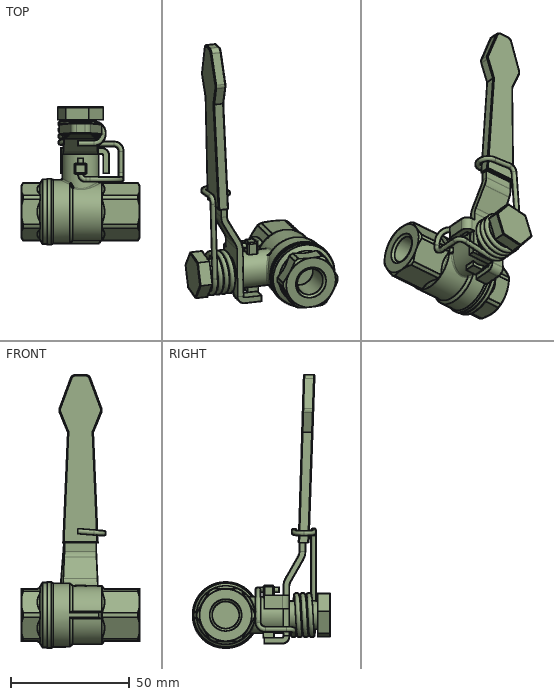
import cadquery as cq
import math


body_length = 50.0
end_x = body_length / 2
hex_flats = 22.0
hex_corner_diameter = 24.4
end_face_radius = hex_flats / 2
end_chamfer_length = 0.8
collar_diameter = 28.0
rim_diameter = 27.5
barrel_diameter = 27.0
recess_diameter = 24.7
cone_start_x = -18.3
cone_bend_x = -17.3
cone_bend_radius = 11.6
rim_start_x = -16.0
collar_start_x = -14.0
collar_chamfer_x = -12.4
collar_end_x = -11.6
recess_chamfer_x = -4.6
recess_start_x = -3.3
recess_end_x = 9.0
shoulder_bend_x = 9.5
barrel_end_x = 10.2
rib_half_top = 0.9
rib_half_root = 1.6
rib_end_chamfer = 1.4
bore_diameter = 11.45
bore_mouth_diameter = 13.5
bore_depth = 14.0
bore_chamfer = (bore_mouth_diameter - bore_diameter) / 2

neck_diameter = 15.5
neck_end_y = 24.3
neck_fillet = 0.6
stem_diameter = 12.0
nut_start_y = 38.8
nut_end_y = 44.2
nut_flats = 17.0
nut_turn = 9.0
nut_chamfer = 0.3
lever_reach_y = nut_end_y

lug_half_width = 2.7
lug_y_range = (15.8, 20.45)
lug_root_z = 5.0
lug_top_z = 12.5
lug_bottom_z = -9.5
lug_chamfer = 0.6

strip_thickness = 2.6
strip_bottom_z = -8.7
lower_bend_z = 13.5
upper_bend_z = 25.4
strip_offset = 6.8
strip_top_z = 40.0
strip_half_bottom = 8.3
strip_half_top = 6.7
strip_taper_top_z = 27.0
bend_inner_radius = 4.6
tab_tip_y = 16.2
tab_width = 5.8
tab_outer_radius = 3.1
tab_inner_radius = tab_outer_radius - strip_thickness
side_tab_outer_x = 12.1
side_tab_top_z = 8.4
bottom_tab_z = -12.1

grip_bottom_z = 30.5
grip_top_z = 101.48
grip_waist_z = 77.2
grip_wide_z = 86.4
grip_half_bottom = 7.4
grip_half_waist = 5.4
grip_half_wide = 9.2
grip_half_tip = 3.6
grip_front_bottom_y = 30.7
grip_back_bottom_y = 35.1
grip_front_top_y = 32.9
grip_back_top_y = 37.6
tip_radius = 2.5
wide_radius = 2.2
grip_chamfer = 0.4

wire_diameter = 2.2
coil_radius = 8.3
coil_pitch = 2.6
hook_lean = 4.5
anchor_lean = 8.0
upright_turns = 3.25
coil_turns = upright_turns + (hook_lean + anchor_lean) / 360
coil_start_y = 37.1
coil_end_y = coil_start_y - coil_turns * coil_pitch
hook_height = 35.2
hook_corner_radius = 2.5
hook_bend_x = 2.8
hook_tip_x = -3.9
hook_front_y = 28.9
leg_x = 17.1
leg_front_y = 13.65
leg_corner_radius = 3.0
leg_pin_z = 10.65
leg_pin_end_y = 22.5
leg_pin_radius = 2.2
leg_straight_end_x = 4.0
length_tolerance = 1e-6


def x_hexagon():
    corners = hex_flats / math.cos(math.pi / 6)
    return cq.Workplane("YZ", origin=(-end_x, 0, 0)).polygon(6, corners).extrude(body_length)


def revolved_about_x(points):
    profile = cq.Workplane("XY").polyline(points).close()
    return profile.revolve(360, (0, 0, 0), (1, 0, 0))


def wrench_hexagon():
    """Hexagon over the full length, with turned corners and chamfered ends."""
    corner = hex_corner_diameter / 2
    shoulder = end_x - end_chamfer_length
    envelope = revolved_about_x([
        (-end_x, 0),
        (-end_x, end_face_radius),
        (-shoulder, corner),
        (shoulder, corner),
        (end_x, end_face_radius),
        (end_x, 0),
    ])
    return x_hexagon().intersect(envelope)


def barrel():
    """Turned middle of the body with its collar and recessed right part."""
    return revolved_about_x([
        (cone_start_x, 0),
        (cone_start_x, hex_flats / 2),
        (cone_bend_x, cone_bend_radius),
        (rim_start_x, rim_diameter / 2),
        (collar_start_x, rim_diameter / 2),
        (collar_start_x, collar_diameter / 2),
        (collar_chamfer_x, collar_diameter / 2),
        (collar_end_x, barrel_diameter / 2),
        (recess_chamfer_x, barrel_diameter / 2),
        (recess_start_x, recess_diameter / 2),
        (recess_end_x, recess_diameter / 2),
        (shoulder_bend_x, cone_bend_radius),
        (barrel_end_x, hex_flats / 2),
        (barrel_end_x, 0),
    ])


def side_ribs():
    """Ribs at barrel diameter on both sides of the recessed part."""
    radius = barrel_diameter / 2
    disc = revolved_about_x([
        (recess_chamfer_x, 0),
        (recess_chamfer_x, radius),
        (recess_end_x - rib_end_chamfer, radius),
        (recess_end_x, radius - rib_end_chamfer),
        (recess_end_x, 0),
    ])
    root_y = recess_diameter / 2
    cross_section = (
        cq.Workplane("YZ", origin=(recess_chamfer_x, 0, 0))
        .polyline([
            (-radius, -rib_half_top),
            (-root_y, -rib_half_root),
            (root_y, -rib_half_root),
            (radius, -rib_half_top),
            (radius, rib_half_top),
            (root_y, rib_half_root),
            (-root_y, rib_half_root),
            (-radius, rib_half_top),
        ])
        .close()
        .extrude(recess_end_x - recess_chamfer_x)
    )
    return disc.intersect(cross_section)


def end_bores():
    """Blind bores from both ends, with chamfered mouths."""
    bore_bottom_x = end_x - bore_depth
    right_bore = revolved_about_x([
        (bore_bottom_x, 0),
        (bore_bottom_x, bore_diameter / 2),
        (end_x - bore_chamfer, bore_diameter / 2),
        (end_x, bore_mouth_diameter / 2),
        (end_x, 0),
    ])
    return right_bore.union(right_bore.mirror("YZ"))


def y_cylinder(diameter, start_y, end_y):
    plane = cq.Workplane("XZ", origin=(0, start_y, 0))
    return plane.circle(diameter / 2).extrude(start_y - end_y)


def end_nut():
    corners = nut_flats / math.cos(math.pi / 6)
    nut = cq.Workplane("XZ", origin=(0, nut_start_y, 0)).polygon(6, corners)
    nut = nut.extrude(nut_start_y - nut_end_y).faces(">Y").chamfer(nut_chamfer)
    return nut.rotate((0, 0, 0), (0, 1, 0), -nut_turn)


def box_between(x_range, y_range, z_range):
    size = [high - low for low, high in (x_range, y_range, z_range)]
    corner = (x_range[0], y_range[0], z_range[0])
    return cq.Workplane("XY", origin=corner).box(*size, centered=False)


def stop_lugs():
    """Lug on top of the neck that holds the spring end, and a stop lug below."""
    width = (-lug_half_width, lug_half_width)
    top = box_between(width, lug_y_range, (lug_root_z, lug_top_z))
    top = top.edges("|Z").chamfer(lug_chamfer).faces(">Z").chamfer(lug_chamfer)
    return top.union(box_between(width, lug_y_range, (lug_bottom_z, -lug_root_z)))


def lever_strip():
    """Sheet strip with two opposite bends, tapering towards the grip."""
    lean = math.atan2(strip_offset, upper_bend_z - lower_bend_z)
    miter = strip_thickness / 2 * math.tan(lean / 2)
    front_y = neck_end_y
    back_y = front_y + strip_thickness
    bent = (
        cq.Workplane("YZ", origin=(-strip_half_bottom, 0, 0))
        .moveTo(front_y, strip_bottom_z)
        .lineTo(front_y, lower_bend_z + miter)
        .lineTo(front_y + strip_offset, upper_bend_z + miter)
        .lineTo(front_y + strip_offset, strip_top_z)
        .lineTo(back_y + strip_offset, strip_top_z)
        .lineTo(back_y + strip_offset, upper_bend_z - miter)
        .lineTo(back_y, lower_bend_z - miter)
        .lineTo(back_y, strip_bottom_z)
        .close()
        .extrude(2 * strip_half_bottom)
    )
    outer_radius = bend_inner_radius + strip_thickness
    bends = (
        (front_y, lower_bend_z + miter, outer_radius),
        (back_y, lower_bend_z - miter, bend_inner_radius),
        (front_y + strip_offset, upper_bend_z + miter, bend_inner_radius),
        (back_y + strip_offset, upper_bend_z - miter, outer_radius),
    )
    for y, z, radius in bends:
        bent = bent.edges(cq.selectors.NearestToPointSelector((0, y, z))).fillet(radius)
    taper = (
        cq.Workplane("XZ")
        .polyline([
            (-strip_half_bottom, strip_bottom_z),
            (-strip_half_top, strip_taper_top_z),
            (-strip_half_top, strip_top_z),
            (strip_half_top, strip_top_z),
            (strip_half_top, strip_taper_top_z),
            (strip_half_bottom, strip_bottom_z),
        ])
        .close()
        .extrude(-lever_reach_y)
    )
    return bent.intersect(taper)


def bent_tab(plane, origin, outer, root):
    """L-shaped tab: leaves the strip at the root position and turns towards the body."""
    inner = outer - strip_thickness
    back_y = neck_end_y + strip_thickness
    bend_start = outer - tab_outer_radius
    return (
        cq.Workplane(plane, origin=origin)
        .moveTo(root, neck_end_y)
        .lineTo(root, back_y)
        .lineTo(bend_start, back_y)
        .radiusArc((outer, back_y - tab_outer_radius), tab_outer_radius)
        .lineTo(outer, tab_tip_y)
        .lineTo(inner, tab_tip_y)
        .lineTo(inner, neck_end_y - tab_inner_radius)
        .radiusArc((inner - tab_inner_radius, neck_end_y), -tab_inner_radius)
        .close()
        .extrude(tab_width)
    )


def side_tab():
    base = (0, 0, side_tab_top_z - tab_width)
    return bent_tab("XY", base, side_tab_outer_x, strip_half_top)


def bottom_tab():
    """The same tab turned so that its outer face lies at the bottom."""
    tab = bent_tab("XY", (0, 0, 0), -bottom_tab_z, -strip_bottom_z)
    turned = tab.rotate((0, 0, 0), (0, 1, 0), 90)
    return turned.translate((-strip_half_bottom, 0, 0))


def grip():
    """Flat arrow-headed grip that leans back and thickens towards its tip."""
    right_side = [
        (grip_half_bottom, grip_bottom_z),
        (grip_half_waist, grip_waist_z),
        (grip_half_wide, grip_wide_z),
        (grip_half_tip, grip_top_z),
    ]
    left_side = [(-x, z) for x, z in reversed(right_side)]
    outline = cq.Workplane("XZ").polyline(right_side + left_side).close().extrude(-lever_reach_y)
    outline = outline.edges("|Y and >Z").fillet(tip_radius)
    outline = outline.edges("|Y").edges("<X or >X").fillet(wide_radius)
    side_profile = (
        cq.Workplane("YZ")
        .polyline([
            (grip_front_bottom_y, grip_bottom_z),
            (grip_front_top_y, grip_top_z),
            (grip_back_top_y, grip_top_z),
            (grip_back_bottom_y, grip_bottom_z),
        ])
        .close()
        .extrude(grip_half_wide, both=True)
    )
    return outline.intersect(side_profile).faces("<Y or >Y").chamfer(grip_chamfer)


def rounded_rod(points, radii):
    """Round wire along straight runs between points, with an arc at each inner corner."""
    vertices = [cq.Vector(*point) for point in points]
    edges = []
    run_start = vertices[0]
    for before, corner, after, radius in zip(vertices, vertices[1:], vertices[2:], radii):
        back = (before - corner).normalized()
        ahead = (after - corner).normalized()
        arc_start = corner + back * radius
        arc_end = corner + ahead * radius
        arc_middle = corner + (back + ahead) * (radius * (1 - math.sqrt(0.5)))
        if (arc_start - run_start).Length > length_tolerance:
            edges.append(cq.Edge.makeLine(run_start, arc_start))
        edges.append(cq.Edge.makeThreePointArc(arc_start, arc_middle, arc_end))
        run_start = arc_end
    edges.append(cq.Edge.makeLine(run_start, vertices[-1]))
    path = cq.Workplane(obj=cq.Wire.assembleEdges(edges))
    section_plane = cq.Plane(origin=vertices[0], normal=vertices[1] - vertices[0])
    return cq.Workplane(section_plane).circle(wire_diameter / 2).sweep(path)


def coil():
    """Helix about the stem, from just past its bottom near the strip to its left side near the nut."""
    helix = cq.Wire.makeHelix(coil_pitch, coil_turns * coil_pitch, coil_radius)
    section = cq.Workplane("XZ", origin=(coil_radius, 0, 0)).circle(wire_diameter / 2)
    spring = section.sweep(cq.Workplane(obj=helix), isFrenet=True)
    spring = spring.rotate((0, 0, 0), (1, 0, 0), -90)
    spring = spring.rotate((0, 0, 0), (0, 1, 0), 90 - anchor_lean)
    return spring.translate((0, coil_end_y, 0))


def hook():
    """Upper spring leg that rises behind the grip and wraps around its right edge."""
    grip_wrap_radius = (coil_start_y - hook_front_y) / 2
    hook_edge_x = hook_bend_x + grip_wrap_radius
    leg = rounded_rod(
        [
            (-coil_radius, coil_start_y, 0),
            (-coil_radius, coil_start_y, hook_height),
            (hook_edge_x, coil_start_y, hook_height),
            (hook_edge_x, hook_front_y, hook_height),
            (hook_tip_x, hook_front_y, hook_height),
        ],
        [hook_corner_radius, grip_wrap_radius, grip_wrap_radius],
    )
    return leg.rotate((0, 0, 0), (0, 1, 0), hook_lean)


def anchor_leg():
    """Lower spring leg that runs around the side tab and ends in the top lug."""
    lean = math.radians(anchor_lean)
    coil_end_x = coil_radius * math.sin(lean)
    coil_end_z = -coil_radius * math.cos(lean)
    leg_low_z = coil_end_z + (leg_x - coil_end_x) * math.tan(lean)
    return rounded_rod(
        [
            (coil_end_x, coil_end_y, coil_end_z),
            (leg_x, coil_end_y, leg_low_z),
            (leg_x, leg_front_y, leg_low_z),
            (leg_x, leg_front_y, leg_pin_z),
            (0, leg_front_y, leg_pin_z),
            (0, leg_pin_end_y, leg_pin_z),
        ],
        [leg_corner_radius, leg_corner_radius, leg_x - leg_straight_end_x, leg_pin_radius],
    )


def barrel_with_neck():
    """Barrel and stem neck, with a fillet where the neck leaves the barrel."""
    neck = y_cylinder(neck_diameter, 0, neck_end_y)
    joined = barrel().union(neck)
    neck_radius = neck_diameter / 2
    low_corner = (-neck_radius, neck_radius, -neck_radius)
    high_corner = (neck_radius, collar_diameter / 2, neck_radius)
    junction = cq.selectors.BoxSelector(low_corner, high_corner)
    return joined.edges(junction).fillet(neck_fillet)


def valve_body():
    body = wrench_hexagon().union(barrel_with_neck()).union(side_ribs())
    return body.union(stop_lugs()).cut(end_bores())


def lever():
    return lever_strip().union(side_tab()).union(bottom_tab()).union(grip())


def spring():
    return coil().union(hook()).union(anchor_leg())


stem = y_cylinder(stem_diameter, neck_end_y, nut_start_y)
result = valve_body().union(stem).union(end_nut()).union(lever()).union(spring())